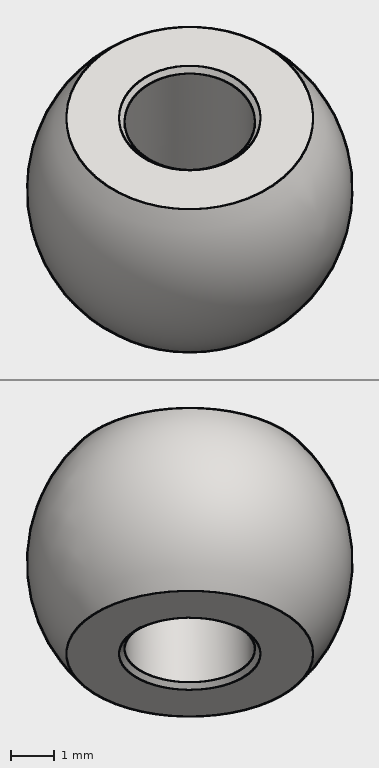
import cadquery as cq

ball_diameter = 7.5
height = 4.9
bore_diameter = 3.0
bore_chamfer = 0.13

ball = cq.Workplane("XY").sphere(ball_diameter / 2)
flat_band = cq.Workplane("XY").box(ball_diameter, ball_diameter, height)
body = ball.intersect(flat_band)

bore = cq.Workplane("XY").circle(bore_diameter / 2).extrude(height / 2, both=True)
body = body.cut(bore)
mouth_edges = cq.selectors.RadiusNthSelector(0)
result = body.faces("<Z or >Z").edges(mouth_edges).chamfer(bore_chamfer)